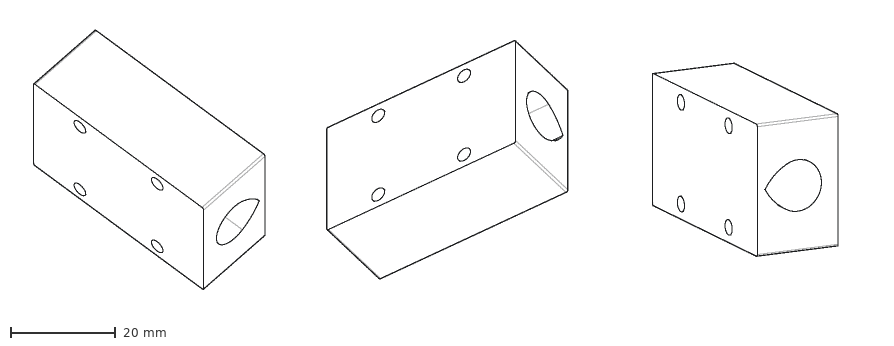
import cadquery as cq
import math

length = 44.05
depth = 17.3
height = 26.0
edge_radius = 0.45

bore_radius = 5.05
tip_reach = 7.0
flank_start_y = 2.25

hole_diameter = 3.0
hole_spacing = 20.0


def rounded_block():
    """Centred block with the four edges parallel to Y rounded."""
    return cq.Workplane("XY").box(length, depth, height).edges("|Y").fillet(edge_radius)


def teardrop_bore():
    """Circular bore whose outline runs tangentially into two flatter arcs meeting at the tip."""
    flank_start_z = math.sqrt(bore_radius**2 - flank_start_y**2)
    center_offset = (tip_reach**2 - bore_radius**2) / (
        2 * (bore_radius - tip_reach * flank_start_y / bore_radius)
    )
    flank_radius = bore_radius + center_offset
    return (
        cq.Workplane("YZ")
        .workplane(offset=-length / 2)
        .moveTo(flank_start_y, flank_start_z)
        .threePointArc((-bore_radius, 0), (flank_start_y, -flank_start_z))
        .radiusArc((tip_reach, 0), -flank_radius)
        .radiusArc((flank_start_y, flank_start_z), -flank_radius)
        .close()
        .extrude(length)
    )


def mounting_holes():
    """Four cylinders spanning the block depth."""
    return (
        cq.Workplane("XZ")
        .rarray(hole_spacing, hole_spacing, 2, 2)
        .circle(hole_diameter / 2)
        .extrude(depth / 2, both=True)
    )


result = rounded_block().cut(teardrop_bore()).cut(mounting_holes())